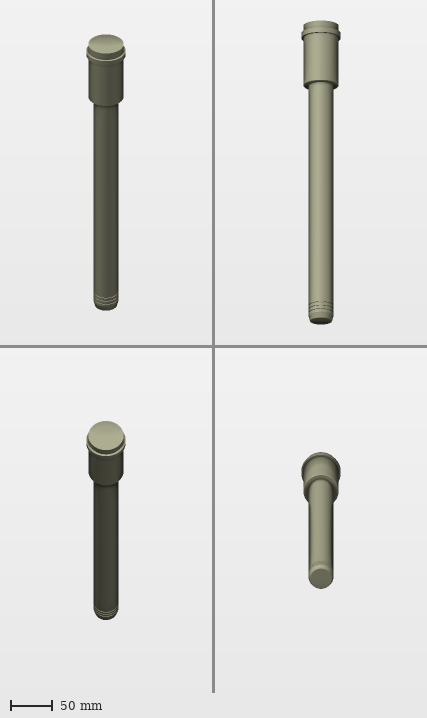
import cadquery as cq
import math

total_length = 370.0
shaft_diameter = 30.0
head_diameter = 42.0
flange_diameter = 47.0

head_length = 75.0
head_chamfer = 0.7
flange_drop = 9.2
flange_thickness = 6.0

relief_width = 0.7
relief_depth = 0.5

lead_length = 7.0
lead_angle = 15.0
tip_radius = 0.7

groove_count = 3
groove_pitch = 4.5
first_groove_height = 10.0
groove_width = 1.0
groove_depth = 1.0


def cylinder(diameter, bottom, height):
    """Cylinder on the Z axis, starting at the given height."""
    return cq.Workplane("XY").workplane(offset=bottom).circle(diameter / 2).extrude(height)


def lead_in():
    """Cone that narrows downwards from the shaft, rounded at its lower rim."""
    tip_diameter = shaft_diameter - 2 * lead_length * math.tan(math.radians(lead_angle))
    cone = cq.Workplane("XY").circle(tip_diameter / 2).extrude(lead_length, taper=-lead_angle)
    return cone.faces("<Z").edges().fillet(tip_radius)


def groove(diameter, bottom, width, depth):
    """Ring of material to remove from a cylinder of the given diameter."""
    core = cylinder(diameter - 2 * depth, bottom, width)
    return cylinder(diameter, bottom, width).cut(core)


def head():
    """Plain cylinder with a chamfered lower rim."""
    body = cylinder(head_diameter, head_bottom, head_length)
    return body.faces("<Z").edges().chamfer(head_chamfer)


head_bottom = total_length - head_length
flange_top = total_length - flange_drop
flange_bottom = flange_top - flange_thickness
result = lead_in()
result = result.union(cylinder(shaft_diameter, lead_length, head_bottom - lead_length))
result = result.union(head())
result = result.union(cylinder(flange_diameter, flange_bottom, flange_thickness))

for relief_bottom in (flange_top, flange_bottom - relief_width):
    result = result.cut(groove(head_diameter, relief_bottom, relief_width, relief_depth))

for index in range(groove_count):
    groove_bottom = first_groove_height + index * groove_pitch
    result = result.cut(groove(shaft_diameter, groove_bottom, groove_width, groove_depth))